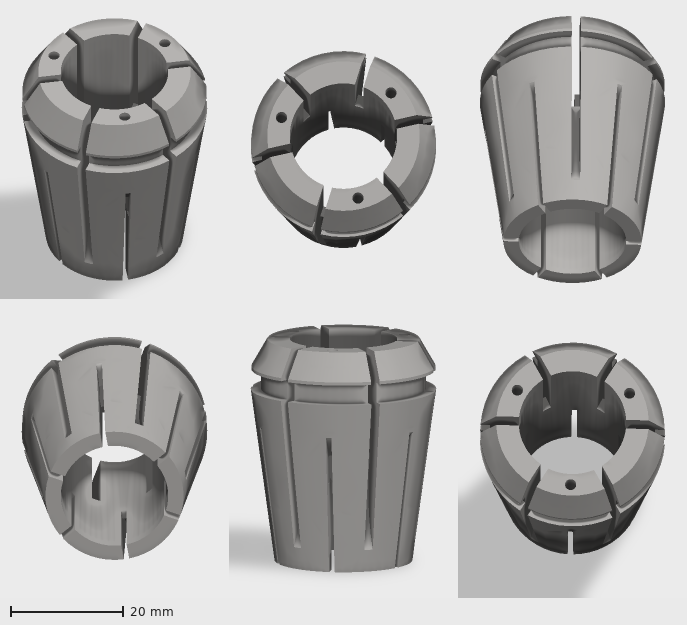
import cadquery as cq
import math

length = 40.0
max_diameter = 33.0
max_radius = max_diameter / 2
bore_radius = 9.55

tail_radius = 12.3
taper_top = 30.95
groove_top = 34.5
groove_radius = 14.7

rim_radius = 16.4
rim_top = 35.1
nose_angle = 30.0
nose_radius = rim_radius - (length - rim_top) * math.tan(math.radians(nose_angle))

slots_per_set = 6
tail_slot_offset = 360.0 / slots_per_set / 2
slot_cut_radius = max_diameter

nose_slot_width = 1.6
nose_ridge_radius = 11.5
nose_ridge_height = 21.35
nose_slot_outer_end = 4.0
nose_saw_radius = 24.8

tail_slot_width = 1.0
tail_ridge_radius = 10.9
tail_ridge_height = 16.0
tail_slot_outer_end = 24.9
tail_saw_radius = 17.5

inner_slope = 20.0

hole_diameter = 2.0
hole_circle_radius = 11.5
hole_depth = 24.0
hole_lean = 1.0
hole_count = 3
first_hole_angle = 90.0
hole_overrun = 0.4


def taper_radius(z):
    """Outer radius of the long taper at height z."""
    return tail_radius + (max_radius - tail_radius) * z / taper_top


def arc_middle(start, end, radius):
    """Middle point of the arc from start to end that bulges towards the axis."""
    half_r = (end[0] - start[0]) / 2
    half_z = (end[1] - start[1]) / 2
    half_chord = math.hypot(half_r, half_z)
    sagitta = radius - math.sqrt(radius**2 - half_chord**2)
    return (
        start[0] + half_r - sagitta * abs(half_z) / half_chord,
        start[1] + half_z + sagitta * math.copysign(half_r, half_z) / half_chord,
    )


def make_slot_cutter(width, ridge, outer_end, saw_radius, open_end):
    """Cutter for one slot, lying along +X from the axis and open at height open_end."""
    ridge_radius, ridge_height = ridge
    outer = (taper_radius(outer_end), outer_end)
    away_from_opening = math.copysign(1.0, ridge_height - open_end)
    inner_drop = ridge_radius * math.tan(math.radians(inner_slope))
    return (
        cq.Workplane("XZ")
        .moveTo(0, open_end)
        .lineTo(0, ridge_height + away_from_opening * inner_drop)
        .lineTo(ridge_radius, ridge_height)
        .threePointArc(arc_middle(ridge, outer, saw_radius), outer)
        .lineTo(slot_cut_radius, outer_end)
        .lineTo(slot_cut_radius, open_end)
        .close()
        .extrude(width / 2, both=True)
    )


def cut_around_axis(body, cutter, count, first_angle):
    """Cut equally spaced copies of a cutter around the Z axis."""
    for index in range(count):
        angle = first_angle + index * 360.0 / count
        body = body.cut(cutter.rotate((0, 0, 0), (0, 0, 1), angle))
    return body


def make_body():
    """Revolved sleeve without slots or holes."""
    return (
        cq.Workplane("XZ")
        .moveTo(bore_radius, 0)
        .lineTo(tail_radius, 0)
        .lineTo(max_radius, taper_top)
        .lineTo(groove_radius, taper_top)
        .lineTo(groove_radius, groove_top)
        .lineTo(rim_radius, groove_top)
        .lineTo(rim_radius, rim_top)
        .lineTo(nose_radius, length)
        .lineTo(bore_radius, length)
        .close()
        .revolve(360, (0, 0, 0), (0, 1, 0))
    )


def make_hole_cutter():
    """Cutter for one leaning hole above +X, reaching a little past the nose face."""
    return (
        cq.Workplane("XY")
        .circle(hole_diameter / 2)
        .extrude(hole_depth + hole_overrun)
        .translate((0, 0, -hole_depth))
        .rotate((0, 0, 0), (0, 1, 0), -hole_lean)
        .translate((hole_circle_radius, 0, length))
    )


nose_slot = make_slot_cutter(
    nose_slot_width, (nose_ridge_radius, nose_ridge_height), nose_slot_outer_end, nose_saw_radius, length
)
tail_slot = make_slot_cutter(
    tail_slot_width, (tail_ridge_radius, tail_ridge_height), tail_slot_outer_end, tail_saw_radius, 0
)

result = make_body()
result = cut_around_axis(result, nose_slot, slots_per_set, 0)
result = cut_around_axis(result, tail_slot, slots_per_set, tail_slot_offset)
result = cut_around_axis(result, make_hole_cutter(), hole_count, first_hole_angle)